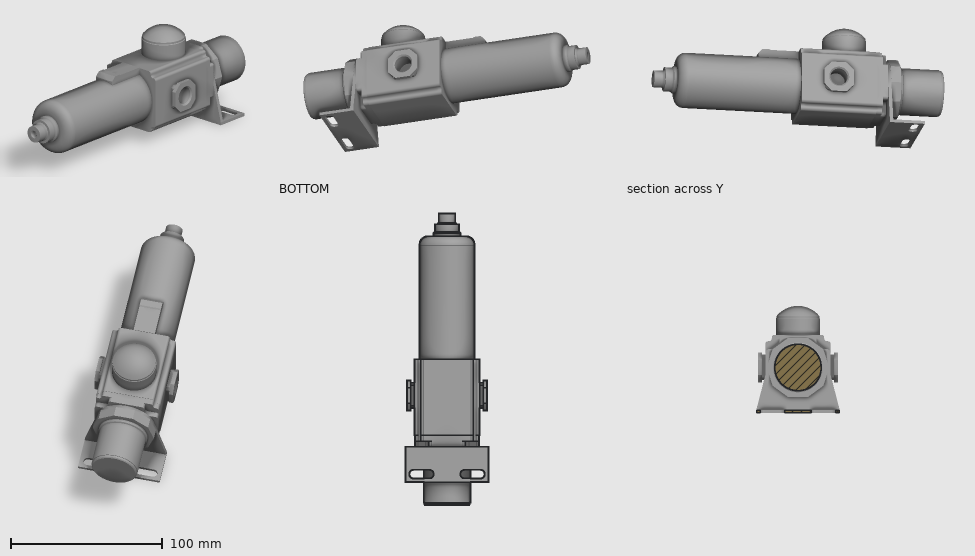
import math

import cadquery as cq


KNOB_END = 72.5
KNOB_CAP_START = KNOB_END - 1.9
COLLAR_TIP = 45.1
COLLAR_SHOULDER = 44.5
NUT_FRONT = 42.8
PLATE_BACK = 36.0
PLATE_THICKNESS = 2.3
PLATE_FRONT = PLATE_BACK - PLATE_THICKNESS
NECK_FRONT = 30.2
CAP_FRONT = 26.4
BODY_FRONT = -24.0
BOWL_END = -105.1
DRAIN_END = -120.0

BODY_HALF = 21.5
CAP_HALF = 21.2
CORNER_NOTCH = 4.2
CORNER_ROUND = 1.8
CORNER_HOLLOW = 1.8
NECK_ARM_HALF = 12.1
NECK_HOLLOW = 2.1

KNOB_RADIUS = 15.5
KNOB_CAP_RADIUS = 15.0
KNOB_CAP_CHAMFER = 0.6
COLLAR_RADIUS = 16.4
NUT_SIDES = 10
NUT_CORNER_RADIUS = 20.6

BRACKET_WIDTH = 55.0
BRACKET_BOTTOM = -30.0
BRACKET_ARCH_RADIUS = 19.6
FOOT_THICKNESS = 2.0
FOOT_LENGTH = 23.4
SLOT_LENGTH = 16.0
SLOT_WIDTH = 5.6
SLOT_OUTER_END = 24.8
SLOT_FROM_FOOT_EDGE = 5.2

PORT_FACE = 26.5
PORT_FLANGE_THICKNESS = 2.7
PORT_FLANGE_SIZE = 20.0
PORT_FLANGE_CHAMFER = 5.0
PORT_HUB_SIZE = 16.8
PORT_HUB_CHAMFER = 1.7
PORT_BORE_RADIUS = 5.7
PORT_MOUTH_RADIUS = 6.7
PORT_DEPTH = 12.0

GAUGE_Y = 7.9
GAUGE_RADIUS = 14.6
GAUGE_NECK_RADIUS = 14.2
GAUGE_SHOULDER = 32.2
GAUGE_SHOULDER_CHAMFER = GAUGE_RADIUS - GAUGE_NECK_RADIUS
GAUGE_RIM = 33.9
GAUGE_TOP = 40.62

BOWL_RADIUS = 18.25
BOWL_END_ROUND = 6.0
LATCH_WIDTH = 14.4
LATCH_TOP = 21.9
LATCH_RIDGE_TOP = 22.4
LATCH_RIDGE_START = -42.6
LATCH_RIDGE_RISE = 0.9
LATCH_SLOPE_START = -48.0
LATCH_END = -50.8
LATCH_TIP_HEIGHT = 19.4
DRAIN_FLANGE_RADIUS = 9.0
DRAIN_FLANGE_END = -107.0
DRAIN_BODY_RADIUS = 8.0
DRAIN_BODY_START = -108.0
DRAIN_BODY_END = -112.9
DRAIN_STEP_RADIUS = 6.3
DRAIN_NOZZLE_START = -113.9
DRAIN_NOZZLE_RADIUS = 5.6
DRAIN_BORE_RADIUS = 2.0
DRAIN_MOUTH_RADIUS = 2.6
DRAIN_BORE_DEPTH = 6.0


def section_plane(y):
    """Plane across the long axis at station y: local x is X, local y is Z, normal is -Y."""
    return cq.Workplane("XZ", origin=(0, y, 0))


def turned(outline):
    """Solid of revolution about the long axis from (radius, y) points."""
    return cq.Workplane("XY").polyline(outline).close().revolve(360, (0, 0, 0), (0, 1, 0))


def notched_bar(half, notch, hollow, y_back, y_front):
    """Square bar along Y with a square notch in each corner, rounded outside and hollowed inside."""
    length = y_back - y_front
    inner = half - notch
    middle_y = (y_back + y_front) / 2
    signs = [(sx, sz) for sx in (-1, 1) for sz in (-1, 1)]
    corners = [(sx * half, sz * half) for sx, sz in signs]
    notches = section_plane(y_back).pushPoints(corners).rect(2 * notch, 2 * notch).extrude(length)
    bar = section_plane(y_back).rect(2 * half, 2 * half).extrude(length).cut(notches)
    inside = [(sx * inner, middle_y, sz * inner) for sx, sz in signs]
    outside = [(sx * half, middle_y, sz * inner) for sx, sz in signs]
    outside += [(sx * inner, middle_y, sz * half) for sx, sz in signs]
    for points, radius in ((inside, hollow), (outside, CORNER_ROUND)):
        edges = [bar.edges(cq.selectors.NearestToPointSelector(point)).val() for point in points]
        bar = bar.newObject(edges).fillet(radius)
    return bar


def make_body():
    main = notched_bar(BODY_HALF, CORNER_NOTCH, CORNER_HOLLOW, CAP_FRONT, BODY_FRONT)
    cap_notch = CORNER_NOTCH - (BODY_HALF - CAP_HALF)
    cap = notched_bar(CAP_HALF, cap_notch, CORNER_HOLLOW, NECK_FRONT, CAP_FRONT)
    neck = notched_bar(CAP_HALF, CAP_HALF - NECK_ARM_HALF, NECK_HOLLOW, PLATE_FRONT, NECK_FRONT)
    return main.union(cap).union(neck)


def make_knob():
    knob = turned([
        (0, KNOB_END),
        (KNOB_CAP_RADIUS - KNOB_CAP_CHAMFER, KNOB_END),
        (KNOB_CAP_RADIUS, KNOB_END - KNOB_CAP_CHAMFER),
        (KNOB_CAP_RADIUS, KNOB_CAP_START),
        (KNOB_RADIUS, KNOB_CAP_START),
        (KNOB_RADIUS, COLLAR_TIP),
        (COLLAR_RADIUS, COLLAR_SHOULDER),
        (COLLAR_RADIUS, NUT_FRONT),
        (0, NUT_FRONT),
    ])
    nut = (
        section_plane(NUT_FRONT)
        .polygon(NUT_SIDES, 2 * NUT_CORNER_RADIUS)
        .extrude(NUT_FRONT - PLATE_BACK)
    )
    return knob.union(nut)


def make_bracket():
    """Upright plate, sides leaving its arched top at a tangent and widening to a slotted foot."""
    half_width = BRACKET_WIDTH / 2
    foot_top = BRACKET_BOTTOM + FOOT_THICKNESS
    corner_distance = math.hypot(half_width, foot_top)
    tangent_angle = math.atan2(foot_top, half_width) + math.acos(BRACKET_ARCH_RADIUS / corner_distance)
    tangent_x = BRACKET_ARCH_RADIUS * math.cos(tangent_angle)
    tangent_z = BRACKET_ARCH_RADIUS * math.sin(tangent_angle)
    plate = (
        section_plane(PLATE_BACK)
        .moveTo(-half_width, BRACKET_BOTTOM)
        .lineTo(half_width, BRACKET_BOTTOM)
        .lineTo(half_width, foot_top)
        .lineTo(tangent_x, tangent_z)
        .threePointArc((0, BRACKET_ARCH_RADIUS), (-tangent_x, tangent_z))
        .lineTo(-half_width, foot_top)
        .close()
        .extrude(PLATE_THICKNESS)
    )
    foot_edge = PLATE_FRONT + FOOT_LENGTH
    foot = (
        cq.Workplane("XY", origin=(0, 0, BRACKET_BOTTOM))
        .center(0, PLATE_FRONT + FOOT_LENGTH / 2)
        .rect(BRACKET_WIDTH, FOOT_LENGTH)
        .extrude(FOOT_THICKNESS)
    )
    slot_x = SLOT_OUTER_END - SLOT_LENGTH / 2
    slot_y = foot_edge - SLOT_FROM_FOOT_EDGE
    slots = (
        cq.Workplane("XY", origin=(0, 0, BRACKET_BOTTOM))
        .pushPoints([(-slot_x, slot_y), (slot_x, slot_y)])
        .slot2D(SLOT_LENGTH, SLOT_WIDTH)
        .extrude(FOOT_THICKNESS)
    )
    return plate.union(foot.cut(slots))


def make_port():
    """Port boss on the +X side: a narrow hub carrying a wider eight-sided flange."""
    flange_back = PORT_FACE - PORT_FLANGE_THICKNESS
    hub = (
        cq.Workplane("YZ")
        .rect(PORT_HUB_SIZE, PORT_HUB_SIZE)
        .extrude(flange_back)
        .edges("|X")
        .chamfer(PORT_HUB_CHAMFER)
    )
    flange = (
        cq.Workplane("YZ", origin=(flange_back, 0, 0))
        .rect(PORT_FLANGE_SIZE, PORT_FLANGE_SIZE)
        .extrude(PORT_FLANGE_THICKNESS)
        .edges("|X")
        .chamfer(PORT_FLANGE_CHAMFER)
    )
    return hub.union(flange)


def make_port_bore():
    """Blind bore with a countersunk mouth on the +X side."""
    countersink = PORT_MOUTH_RADIUS - PORT_BORE_RADIUS
    outline = [
        (PORT_FACE, 0),
        (PORT_FACE, PORT_MOUTH_RADIUS),
        (PORT_FACE - countersink, PORT_BORE_RADIUS),
        (PORT_FACE - PORT_DEPTH, PORT_BORE_RADIUS),
        (PORT_FACE - PORT_DEPTH, 0),
    ]
    return cq.Workplane("XY").polyline(outline).close().revolve(360, (0, 0, 0), (1, 0, 0))


def make_gauge():
    """Round gauge standing on the top face, with a spherical lens."""
    rise = GAUGE_TOP - GAUGE_RIM
    lens_radius = (GAUGE_NECK_RADIUS**2 + rise**2) / (2 * rise)
    half_angle = math.asin(GAUGE_NECK_RADIUS / lens_radius) / 2
    lens_middle = (
        lens_radius * math.sin(half_angle),
        GAUGE_TOP - lens_radius * (1 - math.cos(half_angle)),
    )
    return (
        cq.Workplane("XZ", origin=(0, GAUGE_Y, 0))
        .lineTo(GAUGE_RADIUS, 0)
        .lineTo(GAUGE_RADIUS, GAUGE_SHOULDER)
        .lineTo(GAUGE_NECK_RADIUS, GAUGE_SHOULDER + GAUGE_SHOULDER_CHAMFER)
        .lineTo(GAUGE_NECK_RADIUS, GAUGE_RIM)
        .threePointArc(lens_middle, (0, GAUGE_TOP))
        .close()
        .revolve(360, (0, 0, 0), (0, 1, 0))
    )


def make_bowl():
    return (
        section_plane(BODY_FRONT)
        .circle(BOWL_RADIUS)
        .extrude(BODY_FRONT - BOWL_END)
        .faces("<Y")
        .edges()
        .fillet(BOWL_END_ROUND)
    )


def make_latch():
    """Bowl release latch: a flat bar along the top of the bowl with a raised, sloping tip."""
    outline = [
        (BODY_FRONT, 0),
        (BODY_FRONT, LATCH_TOP),
        (LATCH_RIDGE_START, LATCH_TOP),
        (LATCH_RIDGE_START - LATCH_RIDGE_RISE, LATCH_RIDGE_TOP),
        (LATCH_SLOPE_START, LATCH_RIDGE_TOP),
        (LATCH_END, LATCH_TIP_HEIGHT),
        (LATCH_END, 0),
    ]
    return cq.Workplane("YZ").polyline(outline).close().extrude(LATCH_WIDTH / 2, both=True)


def make_drain():
    drain = turned([
        (0, BOWL_END),
        (DRAIN_FLANGE_RADIUS, BOWL_END),
        (DRAIN_FLANGE_RADIUS, DRAIN_FLANGE_END),
        (DRAIN_BODY_RADIUS, DRAIN_BODY_START),
        (DRAIN_BODY_RADIUS, DRAIN_BODY_END),
        (DRAIN_STEP_RADIUS, DRAIN_BODY_END),
        (DRAIN_NOZZLE_RADIUS, DRAIN_NOZZLE_START),
        (DRAIN_NOZZLE_RADIUS, DRAIN_END),
        (0, DRAIN_END),
    ])
    countersink = DRAIN_MOUTH_RADIUS - DRAIN_BORE_RADIUS
    bore = turned([
        (0, DRAIN_END),
        (DRAIN_MOUTH_RADIUS, DRAIN_END),
        (DRAIN_BORE_RADIUS, DRAIN_END + countersink),
        (DRAIN_BORE_RADIUS, DRAIN_END + DRAIN_BORE_DEPTH),
        (0, DRAIN_END + DRAIN_BORE_DEPTH),
    ])
    return drain.cut(bore)


result = make_body()
for feature in (make_knob(), make_bracket(), make_gauge(), make_bowl(), make_latch(), make_drain()):
    result = result.union(feature)

port = make_port()
port_bore = make_port_bore()
result = result.union(port).union(port.mirror("YZ"))
result = result.cut(port_bore).cut(port_bore.mirror("YZ"))